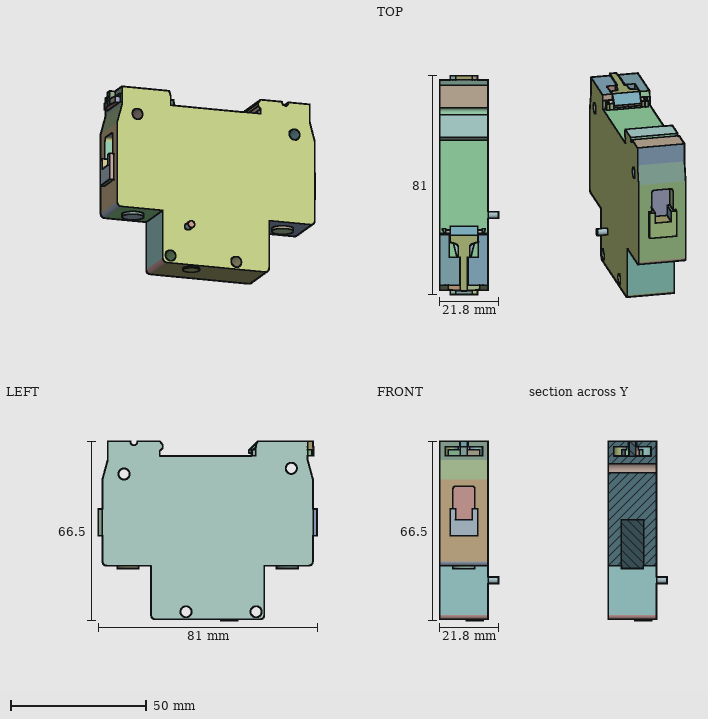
import cadquery as cq
import math


width = 17.9
half_width = width / 2
half_length = 39.0
half_nose = 21.0
half_top = 37.0
wing_z = 19.85
taper_low_z = 51.8
taper_high_z = 59.0
seat_z = 60.5
top_z = 65.9
edge_radius = 1.6

jaw_y = 17.65
jaw_tip_y = 16.6
jaw_low_z = 62.4
jaw_tip_low_z = 63.35
jaw_tip_high_z = 64.55
groove_y = 27.3
groove_radius = 1.2
groove_depth = 1.45

block_y = -17.7
block_top_y = -18.5
block_bevel_z = 63.9

rivet_diameter = 4.05
rivet_places = [(30.95, 53.8), (-30.95, 55.9), (8.0, 2.8), (-17.9, 2.8)]

terminal_reach = 40.5
terminal_back = 33.85
terminal_width = 10.2
terminal_low_z = 30.95
terminal_high_z = 40.9
wire_slot_width = 6.1
wire_slot_z = 36.85
opening_width = 8.2
opening_top_z = 49.3
opening_radius = 1.2
screw_y = 29.5
screw_diameter = 8.1
screw_low_z = 18.8

clip_head_width = 10.3
clip_head_top_y = -18.6
clip_head_y = -15.15
clip_head_high_z = 62.5
clip_head_low_z = 61.65
clip_heel_y = -16.2
clip_heel_z = 61.3
clip_body_end_y = -21.1
neck_width = 4.1
neck_start_y = -23.3
neck_entry_slope = 0.4
neck_end_y = -26.65
stem_width = 2.6
stem_front_y = -39.05
stem_foot_y = -39.2
bar_half_width = 5.8
bar_back_y = -35.2
bar_end_y = -38.55
bar_front_y = -39.1
bar_top_z = 62.8
arm_top_z = 63.8
arm_tip_x = 7.9
arm_tip_y = -16.2
arm_tip_depth = 0.25
arm_tip_top_z = 62.85
arm_tip_end_y = -18.6
arm_inner_x = 6.7
arm_side_x = 6.8
web_rear_y = -16.5
web_ramp_start_y = -16.8
web_ramp_end_y = -18.15
arm_root_x = 3.9
arm_root_y = -21.5
brace_foot_x = 2.6

pocket_width = 10.7
stem_slot_width = 3.1
tunnel_width = 13.8
tunnel_mouth_y = -19.4

pin_diameter = 2.5
pin_length = 21.8 - width
pin_y = -11.1
pin_z = 14.5
indicator_diameter = 6.2
indicator_height = 0.6
indicator_x = 4.05
indicator_y = -8.0


def block(x_range, y_range, z_range):
    """Rectangular block between the given limits."""
    (x0, x1), (y0, y1), (z0, z1) = x_range, y_range, z_range
    return cq.Workplane("XY").box(x1 - x0, y1 - y0, z1 - z0, centered=False).translate((x0, y0, z0))


def centred_block(size_x, y_range, z_range):
    """Rectangular block centred on X = 0."""
    return block((-size_x / 2, size_x / 2), y_range, z_range)


def side_profile(points, size_x):
    """Polygon of (Y, Z) points extruded symmetrically about X = 0."""
    return cq.Workplane("YZ").polyline(points).close().extrude(size_x / 2, both=True)


def both_sides(half):
    """The +X half of a body joined with its mirror image."""
    return half.union(half.mirror("YZ"))


def make_terminal():
    """U-shaped clamp with its screw, at the +Y end."""
    inner = (terminal_back, terminal_reach)
    clamp = centred_block(terminal_width, inner, (terminal_low_z, terminal_high_z))
    clamp = clamp.cut(centred_block(wire_slot_width, inner, (wire_slot_z, terminal_high_z)))
    tongue = centred_block(opening_width, (screw_y, terminal_back), (terminal_low_z, wire_slot_z))
    screw = (
        cq.Workplane("XY", origin=(0, screw_y, screw_low_z))
        .circle(screw_diameter / 2)
        .extrude(wire_slot_z - screw_low_z)
    )
    return clamp.union(tongue).union(screw)


def make_wire_opening():
    """Round-cornered opening above the clamp, at the +Y end."""
    opening = centred_block(opening_width, (terminal_back, half_length), (terminal_high_z, opening_top_z))
    opening = opening.edges("|Y and >Z").fillet(opening_radius)
    return opening.union(centred_block(wire_slot_width, (terminal_back, half_length),
                                       (wire_slot_z, terminal_high_z)))


def at_both_ends(body):
    """A +Y end body and its copy turned to the -Y end."""
    return [body.rotate((0, 0, 0), (0, 0, 1), angle) for angle in (0, 180)]


def make_shell():
    """Solid side outline of the housing, with the rounded lower edges."""
    outline = [
        (-half_nose, 0),
        (half_nose, 0),
        (half_nose, wing_z),
        (half_length, wing_z),
        (half_length, taper_low_z),
        (half_top, taper_high_z),
        (half_top, top_z),
        (jaw_y, top_z),
        (jaw_tip_y, jaw_tip_high_z),
        (jaw_tip_y, jaw_tip_low_z),
        (jaw_y, jaw_low_z),
        (jaw_y, seat_z),
        (block_y, seat_z),
        (block_y, block_bevel_z),
        (block_top_y, top_z),
        (-half_top, top_z),
        (-half_top, taper_high_z),
        (-half_length, taper_low_z),
        (-half_length, wing_z),
        (-half_nose, wing_z),
    ]
    shell = side_profile(outline, width)
    shell = shell.edges("|X and <Z").fillet(edge_radius)
    wing_edges = "(|X and <Y) or (|X and >Y)"
    return shell.edges(wing_edges).edges("<Z").fillet(edge_radius)


def make_top_groove():
    """Round-bottomed groove across the top, behind the fixed jaw."""
    round_z = top_z - groove_depth + groove_radius
    return (
        cq.Workplane("YZ", origin=(-half_width, groove_y, 0))
        .moveTo(-groove_radius, top_z)
        .lineTo(-groove_radius, round_z)
        .threePointArc((0, top_z - groove_depth), (groove_radius, round_z))
        .lineTo(groove_radius, top_z)
        .close()
        .extrude(width)
    )


def make_rivet_holes():
    return (
        cq.Workplane("YZ", origin=(-half_width, 0, 0))
        .pushPoints(rivet_places)
        .circle(rivet_diameter / 2)
        .extrude(width)
    )


def make_clip_space():
    """Top pocket, stem slot and lower tunnel in which the clip slides."""
    pocket = centred_block(pocket_width, (neck_end_y, block_y), (seat_z, top_z))
    stem_slot = centred_block(stem_slot_width, (-half_top, neck_end_y), (seat_z, top_z))
    tunnel = centred_block(tunnel_width, (-half_top, block_y), (seat_z, arm_top_z))
    mouth = centred_block(2 * arm_tip_x, (tunnel_mouth_y, block_y), (seat_z, arm_top_z))
    return pocket.union(stem_slot).union(tunnel).union(mouth)


def make_housing(terminals):
    housing = make_shell().cut(make_top_groove()).cut(make_rivet_holes()).cut(make_clip_space())
    for opening in at_both_ends(make_wire_opening()):
        housing = housing.cut(opening)
    for terminal in terminals:
        housing = housing.cut(terminal)
    return housing


def make_clip_head():
    """Bevelled head that hooks the rail, narrowed to a neck by concave curves."""
    head = side_profile(
        [
            (clip_head_top_y, top_z),
            (clip_head_y, clip_head_high_z),
            (clip_head_y, clip_head_low_z),
            (clip_heel_y, clip_heel_z),
            (clip_heel_y, seat_z),
            (neck_end_y, seat_z),
            (neck_end_y, top_z),
        ],
        clip_head_width,
    )
    shoulder_x = clip_head_width / 2
    neck_x = neck_width / 2
    relief = (
        cq.Workplane("XY", origin=(0, 0, seat_z))
        .moveTo(shoulder_x, clip_body_end_y)
        .spline([(neck_x, neck_start_y)], tangents=[(-1, -neck_entry_slope), (0, -1)], includeCurrent=True)
        .lineTo(neck_x, neck_end_y)
        .lineTo(shoulder_x, neck_end_y)
        .close()
        .extrude(top_z - seat_z)
    )
    return head.cut(both_sides(relief))


def make_clip_arm():
    """Spring arm on the +X side, from the neck out to its thin flared tip."""
    bulge = math.sqrt(0.5)
    arc_mid = (
        arm_root_x + (arm_side_x - arm_root_x) * bulge,
        arm_tip_end_y + (arm_root_y - arm_tip_end_y) * bulge,
    )
    arm = (
        cq.Workplane("XY", origin=(0, 0, seat_z))
        .moveTo(0, arm_tip_y)
        .lineTo(arm_tip_x, arm_tip_y)
        .lineTo(arm_tip_x, arm_tip_y - arm_tip_depth)
        .lineTo(arm_side_x, arm_tip_end_y)
        .threePointArc(arc_mid, (arm_root_x, arm_root_y))
        .lineTo(0, arm_root_y)
        .close()
        .extrude(arm_top_z - seat_z)
    )
    above_tip = block((arm_inner_x, arm_tip_x), (arm_tip_end_y, arm_tip_y), (arm_tip_top_z, arm_top_z))
    behind_web = block((0, arm_inner_x), (web_rear_y, arm_tip_y), (seat_z, arm_top_z))
    ramp = side_profile(
        [
            (arm_tip_y, arm_tip_top_z),
            (web_ramp_start_y, arm_tip_top_z),
            (web_ramp_end_y, arm_top_z),
            (arm_tip_y, arm_top_z),
        ],
        2 * arm_inner_x,
    )
    return arm.cut(above_tip).cut(behind_web).cut(ramp)


def make_clip_brace():
    """Low tapered brace on the +X side, from the arm root to the end of the neck."""
    return (
        cq.Workplane("XY", origin=(0, 0, seat_z))
        .moveTo(0, arm_root_y)
        .lineTo(arm_root_x, arm_root_y)
        .lineTo(brace_foot_x, neck_end_y)
        .lineTo(0, neck_end_y)
        .close()
        .extrude(bar_top_z - seat_z)
    )


def bowed_bar(half_size_x, front_y, height_z):
    """Bar with a bowed front, all bars having the bow of the full crossbar."""
    full_sagitta = bar_end_y - bar_front_y
    radius = (bar_half_width**2 + full_sagitta**2) / (2 * full_sagitta)
    end_y = front_y + radius - math.sqrt(radius**2 - half_size_x**2)
    return (
        cq.Workplane("XY", origin=(0, 0, seat_z))
        .moveTo(-half_size_x, bar_back_y)
        .lineTo(-half_size_x, end_y)
        .threePointArc((0, front_y), (half_size_x, end_y))
        .lineTo(half_size_x, bar_back_y)
        .close()
        .extrude(height_z - seat_z)
    )


def make_clip():
    stem = centred_block(stem_width, (stem_front_y, neck_end_y), (seat_z, top_z))
    crossbar = bowed_bar(bar_half_width, bar_front_y, bar_top_z)
    stem_foot = bowed_bar(stem_width / 2, stem_foot_y, arm_top_z)
    arms = both_sides(make_clip_arm())
    braces = both_sides(make_clip_brace())
    return make_clip_head().union(arms).union(braces).union(stem).union(crossbar).union(stem_foot)


def make_link_pin():
    """Round pin standing out of the +X side."""
    return (
        cq.Workplane("YZ", origin=(half_width, pin_y, pin_z))
        .circle(pin_diameter / 2)
        .extrude(pin_length)
    )


def make_indicator():
    """Thin round indicator on the underside of the nose."""
    return (
        cq.Workplane("XY", origin=(indicator_x, indicator_y, -indicator_height))
        .circle(indicator_diameter / 2)
        .extrude(indicator_height)
    )


terminals = at_both_ends(make_terminal())
housing = make_housing(terminals)
clip = make_clip()
link_pin = make_link_pin()
indicator = make_indicator()

result = cq.Compound.makeCompound([
    *housing.solids().vals(),
    *clip.solids().vals(),
    link_pin.val(),
    indicator.val(),
    *[terminal.solids().val() for terminal in terminals],
])